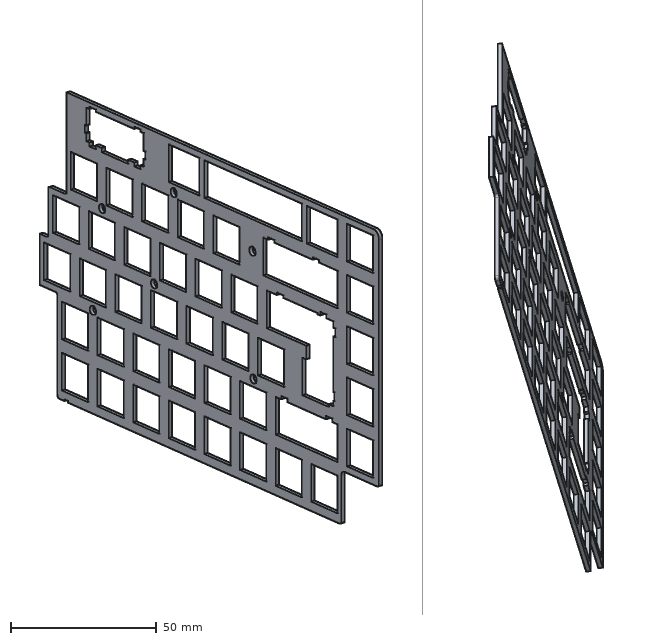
import cadquery as cq


WIDTH = 181
HEIGHT = 115.0
THICKNESS = 1.6

PITCH = 19.0
SWITCH = 14.0
HALF_SWITCH = SWITCH / 2
RIGHT_COLUMN_X = WIDTH - 10.1
BOTTOM_ROW_Z = 10.5
ROW_COUNT = 6

STAGGERED_ROWS = [
    (0, 8, 8),
    (1, 8, 6),
    (2, 8.5, 7),
    (3, 8.25, 6),
    (4, 7.75, 5),
]

BOTTOM_ROWS_LEFT = 9.5
ROW_3_LEFT = 4.5
UPPER_ROWS_LEFT = 14.3
BOTTOM_ROW_RIGHT = 160.9

TOP_RIGHT_RADIUS = 2.9
BOTTOM_STEP_RADIUS = 1.6
BOTTOM_LEFT_RADIUS = 1.3
SMALL_RADIUS = 0.9

NICK_X = 14.1
NICK_WIDTH = 1.6
NICK_DEPTH = 0.5

TOP_WINDOW_WIDTH = 16.3
TOP_WINDOW_GAP = 2.7

TAB_WIDTH = 3.3
TAB_SPACING = 23.9
TAB_RISE = 0.9
SHIFT_TAB_RISE = 1.3

BACKSPACE_WIDTH = 39.6
BACKSPACE_TAB_X = 135.4
SHIFT_TAB_X = 142.5

STABILISED_COLUMN = 6.875
BAR_WIDTH = 30.4
BAR_BOTTOM = 100.1
STABILISER_TAB_BOTTOM = 98.6
STABILISER_TAB_TOP = 113.3
SIDE_NOTCH_SPAN = 32.2
SIDE_NOTCH_BOTTOM = 103.0
SIDE_NOTCH_TOP = 105.9

ENTER_COLUMN = 1.25
ENTER_UPPER_LEFT_COLUMN = 2.25
ENTER_UPPER_RIGHT = 148.0
ENTER_SHAFT_LEFT = 142.3
ENTER_SHAFT_RIGHT = 156.5
ENTER_SHAFT_BOTTOM = 42.5
ENTER_SHAFT_TOP = 74.0
ENTER_TAB_X = 139.7
ENTER_TAB_SPACING = 23.0
ENTER_SIDE_TAB_Z = 58.1
ENTER_LOWER_SIDE_TAB_DEPTH = 0.5
ENTER_UPPER_SIDE_TAB_DEPTH = 1.0

HOLE_DIAMETER = 3.3
HOLE_CENTRES = [
    (71.5, 95.4),
    (113.5, 86.7),
    (33.3, 77.6),
    (61.0, 58.3),
    (114, 39.5),
    (28.5, 38.4),
]


def column_x(column):
    return RIGHT_COLUMN_X - column * PITCH


def row_z(row):
    return BOTTOM_ROW_Z + row * PITCH


def row_top(row):
    return row_z(row) + HALF_SWITCH


def row_bottom(row):
    return row_z(row) - HALF_SWITCH


def boundary_below(row):
    return row_z(row) - PITCH / 2


def box(left, right, bottom, top):
    """Full-thickness block covering the given X and Z ranges."""
    return (
        cq.Workplane("XY")
        .box(right - left, THICKNESS, top - bottom, centered=False)
        .translate((left, 0, bottom))
    )


def centred_box(x, width, bottom, top):
    return box(x - width / 2, x + width / 2, bottom, top)


def row_window(row, left, right):
    return box(left, right, row_bottom(row), row_top(row))


def switch_window(column, row):
    x = column_x(column)
    return row_window(row, x - HALF_SWITCH, x + HALF_SWITCH)


def tab_pair(centre_x, spacing, bottom, top):
    return [
        centred_box(centre_x + side * spacing / 2, TAB_WIDTH, bottom, top)
        for side in (-1, 1)
    ]


def plate_blank():
    corners = [
        (BOTTOM_ROWS_LEFT, 0, BOTTOM_LEFT_RADIUS),
        (BOTTOM_ROW_RIGHT, 0, SMALL_RADIUS),
        (BOTTOM_ROW_RIGHT, boundary_below(1), BOTTOM_STEP_RADIUS),
        (WIDTH, boundary_below(1), SMALL_RADIUS),
        (WIDTH, HEIGHT, TOP_RIGHT_RADIUS),
        (UPPER_ROWS_LEFT, HEIGHT, 0),
        (UPPER_ROWS_LEFT, boundary_below(4), SMALL_RADIUS),
        (ROW_3_LEFT, boundary_below(4), SMALL_RADIUS),
        (ROW_3_LEFT, boundary_below(3), SMALL_RADIUS),
        (0, boundary_below(3), 0),
        (0, boundary_below(2), 0),
        (BOTTOM_ROWS_LEFT, boundary_below(2), SMALL_RADIUS),
    ]
    outline = [(x, z) for x, z, _ in corners]
    blank = cq.Workplane("XZ").polyline(outline).close().extrude(-THICKNESS)
    for x, z, radius in corners:
        if radius > 0:
            at_corner = cq.selectors.NearestToPointSelector((x, THICKNESS / 2, z))
            blank = blank.edges("|Y").edges(at_corner).fillet(radius)
    return blank


def single_switch_windows():
    windows = [switch_window(0, row) for row in range(1, ROW_COUNT)]
    for row, first_column, count in STAGGERED_ROWS:
        windows += [switch_window(first_column - i, row) for i in range(count)]
    return windows


def top_row_windows():
    row = ROW_COUNT - 1
    left = column_x(5) - HALF_SWITCH
    right = column_x(1) + HALF_SWITCH
    inset = TOP_WINDOW_WIDTH + TOP_WINDOW_GAP
    return [
        row_window(row, left, left + TOP_WINDOW_WIDTH),
        row_window(row, left + inset, right - inset),
        row_window(row, right - TOP_WINDOW_WIDTH, right),
    ]


def backspace_window():
    right = column_x(1) + HALF_SWITCH
    tabs = tab_pair(BACKSPACE_TAB_X, TAB_SPACING, row_z(4), row_top(4) + TAB_RISE)
    return [row_window(4, right - BACKSPACE_WIDTH, right)] + tabs


def shift_window():
    window = row_window(1, column_x(2) - HALF_SWITCH, column_x(1) + HALF_SWITCH)
    return [window] + tab_pair(SHIFT_TAB_X, TAB_SPACING, row_z(1), row_top(1) + SHIFT_TAB_RISE)


def stabilised_key_window():
    row = ROW_COUNT - 1
    x = column_x(STABILISED_COLUMN)
    return [
        switch_window(STABILISED_COLUMN, row),
        centred_box(x, BAR_WIDTH, BAR_BOTTOM, row_top(row)),
        centred_box(x, SIDE_NOTCH_SPAN, SIDE_NOTCH_BOTTOM, SIDE_NOTCH_TOP),
    ] + tab_pair(x, TAB_SPACING, STABILISER_TAB_BOTTOM, STABILISER_TAB_TOP)


def enter_window():
    windows = [
        switch_window(ENTER_COLUMN, 2),
        row_window(3, column_x(ENTER_UPPER_LEFT_COLUMN) - HALF_SWITCH, ENTER_UPPER_RIGHT),
        box(ENTER_SHAFT_LEFT, ENTER_SHAFT_RIGHT, ENTER_SHAFT_BOTTOM, ENTER_SHAFT_TOP),
    ]
    windows += tab_pair(ENTER_TAB_X, ENTER_TAB_SPACING, row_z(3), row_top(3) + TAB_RISE)
    for side, depth in ((-1, ENTER_LOWER_SIDE_TAB_DEPTH), (1, ENTER_UPPER_SIDE_TAB_DEPTH)):
        z = ENTER_SIDE_TAB_Z + side * TAB_SPACING / 2
        windows.append(box(
            ENTER_SHAFT_LEFT,
            ENTER_SHAFT_RIGHT + depth,
            z - TAB_WIDTH / 2,
            z + TAB_WIDTH / 2,
        ))
    return windows


def mounting_holes():
    return (
        cq.Workplane("XZ")
        .pushPoints(HOLE_CENTRES)
        .circle(HOLE_DIAMETER / 2)
        .extrude(-THICKNESS)
    )


cutouts = (
    [centred_box(NICK_X, NICK_WIDTH, 0, NICK_DEPTH)]
    + single_switch_windows()
    + top_row_windows()
    + backspace_window()
    + shift_window()
    + stabilised_key_window()
    + enter_window()
)
result = plate_blank().cut(mounting_holes())
for cutout in cutouts:
    result = result.cut(cutout)